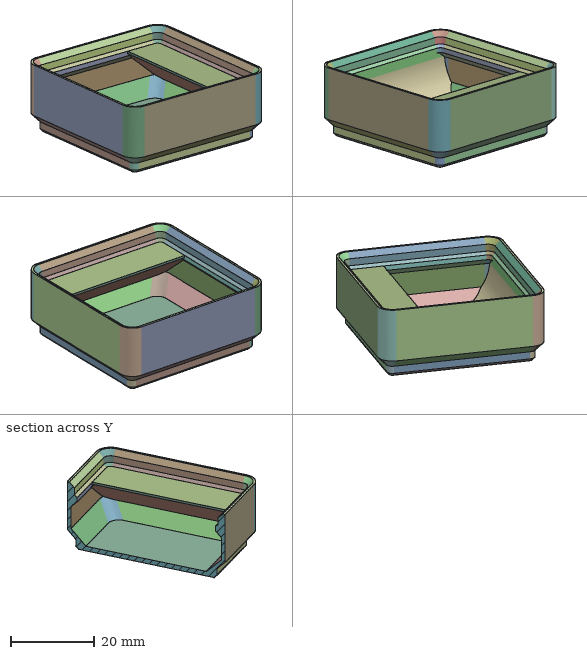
import cadquery as cq
import math

side = 41.5
height = 17.8
corner_radius = 3.75

foot_lower_chamfer = 0.8
foot_straight = 1.83
foot_upper_chamfer = 2.15

rim_width = 0.6
lip_upper_chamfer = 1.33
lip_straight = 1.8
lip_lower_chamfer = 0.7

wall = 1.0
floor_height = 1.35
floor_chamfer = 3.95
cavity_corner_radius = corner_radius - wall
lip_band_height = 1.2
scoop_radius = 10.05

shelf_depth = 12.0
shelf_thickness = 0.6
shelf_support_height = 10.0

lip_inset = rim_width + lip_upper_chamfer + lip_lower_chamfer
lip_bottom = height - lip_upper_chamfer - lip_straight - lip_lower_chamfer
lip_overhang = lip_inset - wall


def rounded_square(inset, radius):
    """Square inset from the outer walls, with rounded corners."""
    width = side - 2 * inset
    return cq.Sketch().rect(width, width).vertices().fillet(radius)


def straight_block(inset, bottom, top):
    """Upright block whose corners stay concentric with the outer corners."""
    outline = rounded_square(inset, corner_radius - inset)
    return cq.Workplane("XY", origin=(0, 0, bottom)).placeSketch(outline).extrude(top - bottom)


def sloped_block(lower_inset, upper_inset, bottom, top, lower_radius=None):
    """Block with sloping sides; corners are concentric unless a lower radius is given."""
    if lower_radius is None:
        lower_radius = corner_radius - lower_inset
    lower_outline = rounded_square(lower_inset, lower_radius)
    upper_outline = rounded_square(upper_inset, corner_radius - upper_inset)
    rise = cq.Location(cq.Vector(0, 0, top - bottom))
    return (
        cq.Workplane("XY", origin=(0, 0, bottom))
        .placeSketch(lower_outline, upper_outline.moved(rise))
        .loft()
    )


def make_body():
    straight_bottom = foot_lower_chamfer
    straight_top = straight_bottom + foot_straight
    foot_top = straight_top + foot_upper_chamfer
    foot_inset = foot_upper_chamfer
    return (
        sloped_block(foot_inset + foot_lower_chamfer, foot_inset, 0, straight_bottom)
        .union(straight_block(foot_inset, straight_bottom, straight_top))
        .union(sloped_block(foot_inset, 0, straight_top, foot_top))
        .union(straight_block(0, foot_top, height))
    )


def make_lip_opening():
    straight_bottom = lip_bottom + lip_lower_chamfer
    straight_top = straight_bottom + lip_straight
    straight_inset = rim_width + lip_upper_chamfer
    return (
        sloped_block(lip_inset, straight_inset, lip_bottom, straight_bottom)
        .union(straight_block(straight_inset, straight_bottom, straight_top))
        .union(sloped_block(straight_inset, rim_width, straight_top, height))
    )


def make_cavity():
    """Storage space that widens up from the floor, then closes in at 45 degrees below the lip."""
    wall_bottom = floor_height + floor_chamfer
    band_bottom = lip_bottom - lip_band_height
    wall_top = band_bottom - lip_overhang
    floor_inset = wall + floor_chamfer
    return (
        sloped_block(floor_inset, wall, floor_height, wall_bottom, cavity_corner_radius)
        .union(straight_block(wall, wall_bottom, wall_top))
        .union(sloped_block(wall, lip_inset, wall_top, band_bottom))
        .union(straight_block(lip_inset, band_bottom, lip_bottom))
    )


def make_scoop():
    """Front filler with a concave quarter-round face running down to the floor."""
    front = -side / 2
    face = front + lip_inset
    arc_top = floor_height + scoop_radius
    toe = face + scoop_radius
    arc_drop = scoop_radius * math.sqrt(0.5)
    return (
        cq.Workplane("YZ", origin=(-side / 2, 0, 0))
        .moveTo(front, 0)
        .lineTo(toe, 0)
        .lineTo(toe, floor_height)
        .threePointArc((toe - arc_drop, arc_top - arc_drop), (face, arc_top))
        .lineTo(face, lip_bottom)
        .lineTo(front, lip_bottom)
        .close()
        .extrude(side)
    )


def make_label_shelf():
    back = side / 2
    shelf_front = back - shelf_depth
    return (
        cq.Workplane("YZ", origin=(-side / 2, 0, 0))
        .moveTo(back, lip_bottom)
        .lineTo(shelf_front, lip_bottom)
        .lineTo(shelf_front, lip_bottom - shelf_thickness)
        .lineTo(back - wall, lip_bottom - shelf_support_height)
        .lineTo(back, lip_bottom - shelf_support_height)
        .close()
        .extrude(side)
    )


storage_space = make_cavity().cut(make_scoop()).cut(make_label_shelf())
result = make_body().cut(make_lip_opening()).cut(storage_space)